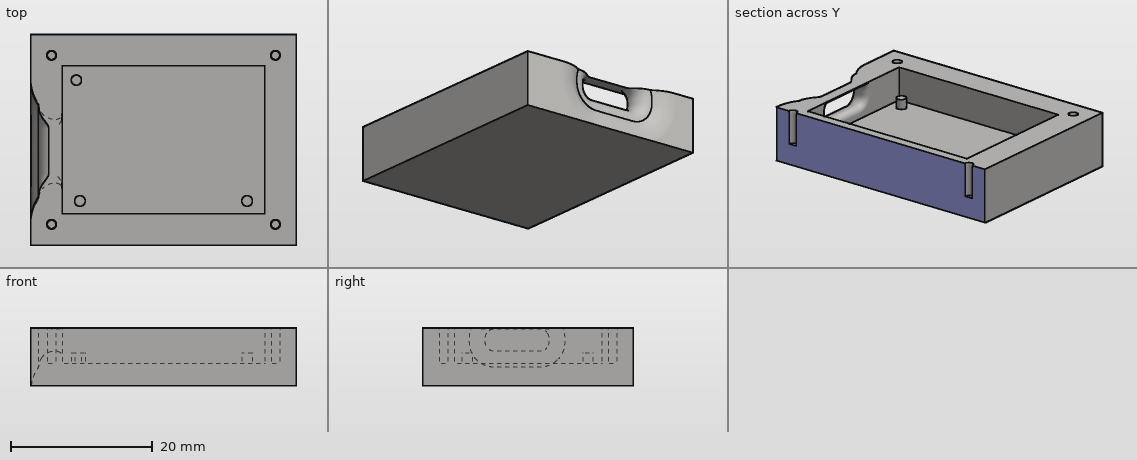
import cadquery as cq
import math

LENGTH = 37.5
WIDTH = 29.76
HEIGHT = 8.2

WALL = 4.45
CAVITY_DEPTH = 5.0
CAVITY_LENGTH = LENGTH - 2 * WALL
CAVITY_WIDTH = WIDTH - 2 * WALL
FLOOR_Z = HEIGHT - CAVITY_DEPTH

SCREW_HOLE_DIAMETER = 1.22
SCREW_HOLE_DEPTH = 5.0
SCREW_HOLE_INSET = 2.95
SCREW_MOUTH_DIAMETER = 1.35
SCREW_MOUTH_DEPTH = 0.3

PIN_HEIGHT = 1.5
PINS = [
    (1.45, -1, 1, 2.0, 2.0),
    (1.5, -1, -1, 2.5, 1.8),
    (1.5, 1, -1, 2.5, 1.8),
]

SLOT_WIDTH = 9.0
SLOT_HEIGHT = 3.1
SLOT_CORNER_RADIUS = 1.25
SLOT_TOP_GAP = 0.15
SLOT_CENTER_Y = -1.58
SLOT_CENTER_Z = HEIGHT - SLOT_TOP_GAP - SLOT_HEIGHT / 2

LIP_RADIUS = 2.25
DISH_WIDTH = 3.33
DISH_DEPTH = 1.1
MOUTH_DEPTH = DISH_DEPTH + LIP_RADIUS
DISH_RADIUS = (DISH_WIDTH**2 + DISH_DEPTH**2) / (2 * DISH_DEPTH)

SILL_RADIUS = 0.9

OUTER_FACE_X = -LENGTH / 2
CAVITY_FACE_X = OUTER_FACE_X + WALL


def make_block():
    block = cq.Workplane("XY").box(LENGTH, WIDTH, HEIGHT, centered=(True, True, False))
    cavity = (
        cq.Workplane("XY")
        .workplane(offset=FLOOR_Z)
        .rect(CAVITY_LENGTH, CAVITY_WIDTH)
        .extrude(CAVITY_DEPTH)
    )
    return block.cut(cavity)


def make_screw_hole():
    """Cutter for one hole with a tapered mouth, its top at the origin."""
    bore = cq.Workplane("XY").circle(SCREW_HOLE_DIAMETER / 2).extrude(-SCREW_HOLE_DEPTH)
    mouth = (
        cq.Workplane("XY")
        .circle(SCREW_MOUTH_DIAMETER / 2)
        .workplane(offset=-SCREW_MOUTH_DEPTH)
        .circle(SCREW_HOLE_DIAMETER / 2)
        .loft()
    )
    return bore.union(mouth).val()


def make_screw_holes():
    hole = make_screw_hole()
    return (
        cq.Workplane("XY")
        .workplane(offset=HEIGHT)
        .rect(LENGTH - 2 * SCREW_HOLE_INSET, WIDTH - 2 * SCREW_HOLE_INSET, forConstruction=True)
        .vertices()
        .eachpoint(lambda place: hole.moved(place), combine=False)
    )


def make_pin(diameter, x_side, y_side, x_inset, y_inset):
    x = x_side * (CAVITY_LENGTH / 2 - x_inset)
    y = y_side * (CAVITY_WIDTH / 2 - y_inset)
    return (
        cq.Workplane("XY")
        .workplane(offset=FLOOR_Z)
        .center(x, y)
        .circle(diameter / 2)
        .extrude(PIN_HEIGHT)
    )


def make_mouth_profile(plane):
    """Half section of the slot, mouth and sill, from a corner axis outwards."""
    lip_end = SLOT_CORNER_RADIUS + LIP_RADIUS
    rim = lip_end + DISH_WIDTH
    lip_middle = (
        MOUTH_DEPTH - LIP_RADIUS * math.sin(math.pi / 4),
        lip_end - LIP_RADIUS * math.cos(math.pi / 4),
    )
    sill_middle = (
        WALL - SILL_RADIUS * (1 - math.sin(math.pi / 4)),
        SLOT_CORNER_RADIUS + SILL_RADIUS * (1 - math.cos(math.pi / 4)),
    )
    half_dish_angle = math.asin(DISH_WIDTH / DISH_RADIUS) / 2
    dish_middle = (
        DISH_RADIUS * (1 - math.cos(half_dish_angle)),
        rim - DISH_RADIUS * math.sin(half_dish_angle),
    )
    return (
        cq.Workplane(plane)
        .lineTo(WALL, 0)
        .lineTo(WALL, SLOT_CORNER_RADIUS + SILL_RADIUS)
        .threePointArc(sill_middle, (WALL - SILL_RADIUS, SLOT_CORNER_RADIUS))
        .lineTo(MOUTH_DEPTH, SLOT_CORNER_RADIUS)
        .threePointArc(lip_middle, (DISH_DEPTH, lip_end))
        .threePointArc(dish_middle, (0, rim))
        .close()
    )


def make_slot_roof():
    """Volume kept above the slot, from the end of the lip to the cavity."""
    roof_length = WALL - MOUTH_DEPTH
    return (
        cq.Workplane("XY")
        .workplane(offset=SLOT_CENTER_Z + SLOT_HEIGHT / 2)
        .center(CAVITY_FACE_X - roof_length / 2, SLOT_CENTER_Y)
        .rect(roof_length, WIDTH)
        .extrude(SLOT_HEIGHT)
    )


def make_connector_opening():
    """Slot, mouth and sill: extruded sides joined by revolved corners around a core."""
    core_width = SLOT_WIDTH - 2 * SLOT_CORNER_RADIUS
    core_height = SLOT_HEIGHT - 2 * SLOT_CORNER_RADIUS
    opening = (
        cq.Workplane("XY")
        .box(WALL, core_width, core_height)
        .translate((OUTER_FACE_X + WALL / 2, SLOT_CENTER_Y, SLOT_CENTER_Z))
    )
    for side in (-1, 1):
        y = SLOT_CENTER_Y + side * core_width / 2
        z = SLOT_CENTER_Z + side * core_height / 2

        end_plane = cq.Plane((OUTER_FACE_X, y, SLOT_CENTER_Z), (1, 0, 0), (0, 0, side))
        opening = opening.union(make_mouth_profile(end_plane).extrude(core_height / 2, both=True))

        long_plane = cq.Plane((OUTER_FACE_X, SLOT_CENTER_Y, z), (1, 0, 0), (0, -side, 0))
        opening = opening.union(make_mouth_profile(long_plane).extrude(core_width / 2, both=True))

        for corner_y_side in (-1, 1):
            corner_y = SLOT_CENTER_Y + corner_y_side * core_width / 2
            corner_plane = cq.Plane((OUTER_FACE_X, corner_y, z), (1, 0, 0), (0, -side, 0))
            corner = make_mouth_profile(corner_plane).revolve(360, (0, 0), (1, 0))
            opening = opening.union(corner)
    return opening.cut(make_slot_roof())


result = make_block().cut(make_screw_holes()).cut(make_connector_opening())
for pin in PINS:
    result = result.union(make_pin(*pin))